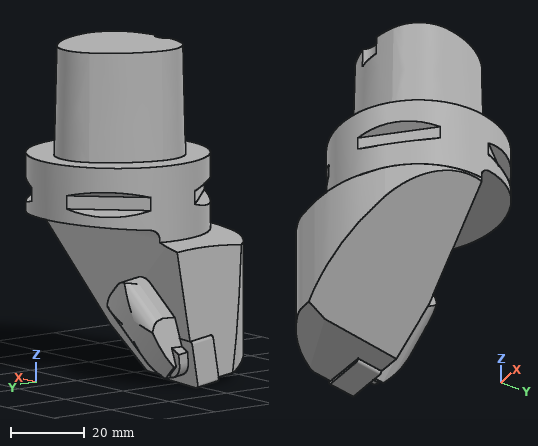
import cadquery as cq
import math


shank_height = 30.0
lobe_reach = 18.8
flank_reach = 16.5
flank_radius = 28.8
shank_taper = 1.4
key_radius = 4.5
key_axis_y = -18.4
key_depth = 5.5

flange_radius = 25.0
flange_height = 20.9
groove_z = -10.1
groove_floor = 22.2
groove_floor_width = 3.6
groove_flare = 30.0

clearance_y = 5.0
clearance_z = -17.55
clearance_rise = 5.0
clearance_fillet = 3.0

head_left = -35.5
head_bottom = -60.0
shoulder_slope = 15.0
head_flat_y = -28.5
head_flat_start_x = -13.3
head_flat_end_x = -7.2
lead_arc_start = (head_left, -1.9)
lead_arc_middle = (-25.65, -22.95)
lead_arc_end = (-18.3, -27.4)
blend_arc_middle = (-15.8, -28.3)
trail_arc_middle = (3.6, -26.3)
trail_arc_end = (13.0, -21.4)
rim_radius = 25.1
rim_start_x = 15.3

back_face = ((25.0, 0, -21.7), (39.9, 0, -45.0))
side_relief = ((-31.3, 4.5, -22.4), (-1, -0.094, 0.095))
end_relief = ((-21.4, 1.8, -58.1), (0.08, -0.1, -1))
heel_relief = ((-32.9, -13.2, -57.9), (0, -0.32, -1))
clamp_end_face = ((-28.3, 3.1, -41.0), (-1, 0.058, 0.22))

tip = (-35.1, 0.2, -60.1)
rake_tilt = 6.0

insert_side = 13.0
insert_corner = 80.0
insert_lead = 5.0
insert_thickness = 8.0
insert_nose_radius = 0.9

clamp_half_width = 6.3
clamp_offset = 2.2
clamp_start = 7.7
clamp_end = 35.0
clamp_corner_radius = 4.5
clamp_wall = 3.8
clamp_bevel_height = 5.85
clamp_bevel_inset = 0.45
clamp_height = 8.9
clamp_top_half_width = 1.8
clamp_crown = 23.4
clamp_crown_radius = 27.9
nose_radius = 4.05
nose_centre = (-7.2, 7.0)
nose_height = 3.3
nose_straight = 2.9
nose_back = 12.4

reach = 180.0

tilt = math.tan(math.radians(rake_tilt))
rake_normal = (-tilt, 1, -tilt)
rake_plane = cq.Plane(origin=tip, xDir=(-1, -tilt, 0), normal=rake_normal)


def half_space(point, outward):
    """Everything on the outward side of a plane."""
    plane = cq.Plane(origin=point, normal=outward)
    return cq.Workplane(plane).rect(reach, reach).extrude(reach)


def polar(radius, degrees):
    angle = math.radians(degrees)
    return radius * math.cos(angle), radius * math.sin(angle)


def make_shank():
    flank_offset = flank_radius - flank_reach
    margin = flank_radius - lobe_reach
    lobe_offset = (flank_offset**2 - margin**2) / (2 * margin - flank_offset)
    node_direction = math.degrees(math.atan2(
        -lobe_offset / 2 - flank_offset, lobe_offset * math.cos(math.radians(30))))
    node_x, node_y = polar(flank_radius, node_direction)
    node_y += flank_offset
    node_radius = math.hypot(node_x, node_y)
    node_angle = math.degrees(math.atan2(node_y, node_x))

    outline = cq.Workplane("XY").moveTo(*polar(node_radius, node_angle))
    for turn in (0, 120, 240):
        outline = outline.threePointArc(
            polar(lobe_reach, turn - 30), polar(node_radius, turn - 60 - node_angle))
        outline = outline.threePointArc(
            polar(flank_reach, turn + 30), polar(node_radius, turn + 120 + node_angle))
    shank = outline.close().extrude(shank_height, taper=shank_taper)
    key = (cq.Workplane("XY", origin=(0, key_axis_y, shank_height - key_depth))
           .circle(key_radius).extrude(reach))
    return shank.cut(key)


def make_flange():
    flange = cq.Workplane("XY").circle(flange_radius).extrude(-flange_height)
    depth = flange_radius - groove_floor
    floor_half = groove_floor_width / 2
    mouth_half = floor_half + depth * math.tan(math.radians(groove_flare))
    groove = (
        cq.Workplane("XZ", origin=(0, 0, groove_z))
        .polyline([(groove_floor, -floor_half), (flange_radius, -mouth_half),
                   (flange_radius, mouth_half), (groove_floor, floor_half)])
        .close().extrude(reach / 2, both=True)
    )
    for turn in (45, 135, 225, 315):
        flange = flange.cut(groove.rotate((0, 0, 0), (0, 0, 1), turn))

    outer_y = clearance_y + flange_radius
    ceiling_rise = flange_radius * math.tan(math.radians(clearance_rise))
    clearance = (
        cq.Workplane("YZ")
        .polyline([(clearance_y, clearance_z), (outer_y, clearance_z + ceiling_rise),
                   (outer_y, -reach), (clearance_y, -reach)])
        .close().extrude(reach / 2, both=True)
        .edges("|X and <Y").edges(">Z").fillet(clearance_fillet)
    )
    return flange.cut(clearance)


def make_head():
    head_height = -flange_height - head_bottom
    rim_start_y = -math.sqrt(rim_radius**2 - rim_start_x**2)
    rim_end_x = math.sqrt(rim_radius**2 - clearance_y**2)
    head = (
        cq.Workplane("XY", origin=(0, 0, head_bottom))
        .moveTo(head_left, clearance_y)
        .lineTo(*lead_arc_start)
        .threePointArc(lead_arc_middle, lead_arc_end)
        .threePointArc(blend_arc_middle, (head_flat_start_x, head_flat_y))
        .lineTo(head_flat_end_x, head_flat_y)
        .threePointArc(trail_arc_middle, trail_arc_end)
        .lineTo(rim_start_x, rim_start_y)
        .threePointArc((rim_radius, 0), (rim_end_x, clearance_y))
        .close().extrude(head_height)
    )
    shoulder_radius = flange_radius + head_height / math.tan(math.radians(shoulder_slope))
    shoulder = cq.Solid.makeCone(
        shoulder_radius, flange_radius, head_height, pnt=cq.Vector(0, 0, head_bottom))
    head = head.intersect(cq.Workplane(shoulder))
    for point, outward in (back_face, side_relief, end_relief, heel_relief):
        head = head.cut(half_space(point, outward))
    return head


def make_insert():
    lower = polar(insert_side, 180 - insert_lead)
    upper = polar(insert_side, 180 - insert_lead - insert_corner)
    return (
        cq.Workplane(rake_plane)
        .polyline([(0, 0), lower, (lower[0] + upper[0], lower[1] + upper[1]), upper])
        .close().extrude(-insert_thickness)
        .edges(cq.selectors.ParallelDirSelector(cq.Vector(*rake_normal)))
        .fillet(insert_nose_radius)
    )


def make_clamp():
    along = rake_plane.toWorldCoords((-0.9, 0.9, 0)) - rake_plane.origin
    across = rake_plane.toWorldCoords((0.9, 0.9, 0)) - rake_plane.origin
    foot = rake_plane.origin + across.normalized() * clamp_offset
    normal = rake_plane.zDir
    section_plane = cq.Plane(origin=foot, xDir=normal.cross(along), normal=along)
    plan_plane = cq.Plane(origin=foot, xDir=along, normal=normal)
    profile_plane = cq.Plane(origin=foot, xDir=along, normal=along.cross(normal))

    bar = (
        cq.Workplane(section_plane).workplane(offset=clamp_start)
        .moveTo(0, clamp_height)
        .lineTo(clamp_top_half_width, clamp_height)
        .tangentArcPoint((clamp_half_width - clamp_bevel_inset, clamp_bevel_height), relative=False)
        .lineTo(clamp_half_width, clamp_wall)
        .lineTo(clamp_half_width, 0)
        .lineTo(0, 0)
        .mirrorY().extrude(clamp_end - clamp_start)
    )
    plan = (
        cq.Workplane(plan_plane).moveTo(clamp_end / 2, 0)
        .rect(clamp_end, 2 * clamp_half_width).extrude(clamp_height)
        .edges(cq.selectors.ParallelDirSelector(normal)).edges(">Z or >X").fillet(clamp_corner_radius)
    )
    crown = (
        cq.Workplane(profile_plane).moveTo(clamp_crown, clamp_height - clamp_crown_radius)
        .circle(clamp_crown_radius).extrude(clamp_half_width, both=True)
    )
    bar = bar.intersect(plan).intersect(crown)
    bar = bar.cut(half_space(*clamp_end_face))

    cx, cy = nose_centre
    arc_x, arc_y = polar(nose_radius, -45)
    nose = (
        cq.Workplane(rake_plane)
        .moveTo(cx, cy - nose_radius)
        .threePointArc((cx + arc_x, cy + arc_y), (cx + nose_radius, cy))
        .lineTo(cx + nose_radius, cy + nose_straight)
        .lineTo(cx, nose_back)
        .close().extrude(nose_height)
    )
    return bar.union(nose)


insert = make_insert()
head = make_head().cut(half_space(tip, rake_normal)).cut(insert)
holder = make_shank().union(make_flange()).union(head).union(make_clamp())

result = cq.Compound.makeCompound([holder.val(), insert.val()])